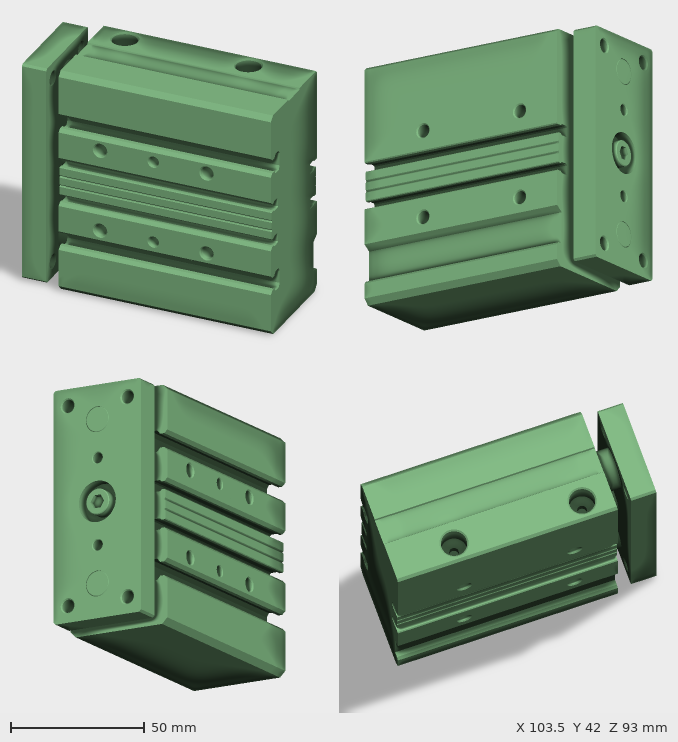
import cadquery as cq


PLATE_THICKNESS = 10.0
PLATE_WIDTH = 38.0
PLATE_HEIGHT = 91.0
PLATE_CHAMFER = 0.8

TOTAL_LENGTH = 103.5
STROKE_GAP = 6.0
HOUSING_START = PLATE_THICKNESS + STROKE_GAP
HOUSING_LENGTH = TOTAL_LENGTH - HOUSING_START
HOUSING_WIDTH = 42.0
HOUSING_HEIGHT = 93.0
FRONT_SIDE = -HOUSING_WIDTH / 2
BACK_SIDE = HOUSING_WIDTH / 2
HOUSING_TOP = HOUSING_HEIGHT / 2
FRONT_TOP_CHAMFER = 2.0
BOTTOM_CHAMFER = 2.3
PORT_CORNER_CHAMFER = 1

TOP_GROOVE_WIDTH = 10.6
TOP_GROOVE_DEPTH = 0.7
TOP_GROOVE_SLOPE = 0.3
OUTER_SLOT_HEIGHT = 24.9
INNER_SLOT_HEIGHT = 7.5
CENTER_RIB_INSET = 0.8
CENTER_RIB_CHAMFER = 0.3
RIB_NOTCH_HEIGHT = 2.0
RIB_NOTCH_WIDTH = 1
RIB_NOTCH_DEPTH = 0.5
OUTER_SLOT_MOUTH = 2.7
INNER_SLOT_MOUTH = 1.6
OUTER_SLOT = [
    (0, OUTER_SLOT_MOUTH + 1.2),
    (1.3, OUTER_SLOT_MOUTH),
    (3.1, OUTER_SLOT_MOUTH),
    (4.3, 4.1),
    (7.1, 4.1),
    (8.1, 2.6),
]
INNER_SLOT = [
    (0, INNER_SLOT_MOUTH),
    (2.5, INNER_SLOT_MOUTH),
    (3.2, 2.2),
    (6.0, 2.2),
    (6.6, 1.8),
]
FRONT_LIP = 1.2
BACK_LIP = 0.4
SIDE_GROOVE_TOP = -23.0
SIDE_GROOVE_BOTTOM = -37.4
SIDE_GROOVE_SLOPE = 2.1
SIDE_GROOVE_DEPTH = 3.1
SIDE_GROOVE_LIP = 1

GUIDE_DIAMETER = 16.0
GUIDE_OFFSET = 32.0
PISTON_ROD_DIAMETER = 10.0
ROD_INSERTION = 43.7
ROD_LENGTH = HOUSING_START + ROD_INSERTION
ROD_TIP_CHAMFER = 0.3
HEX_ACROSS_CORNERS = 5.8
HEX_DEPTH = 2.5
RECESS_DEPTH = 5.2

SCREW_DIAMETER = 5.1
SCREW_MOUTH_DIAMETER = 6.0
DOWEL_DIAMETER = 4.1
DOWEL_MOUTH_DIAMETER = 4.8
DOWEL_DEPTH = 6.0
PLATE_SCREW_Y = 12.9
PLATE_SCREW_Z = 38.9
MOUNT_HEIGHT = 17.0
MOUNT_SCREW_X = (33.1, 77.0)
MOUNT_DOWEL_X = sum(MOUNT_SCREW_X) / 2
PORT_X = (27.6, 78.6)
PORT_Y = 13.6
PORT_MOUTH_DIAMETER = 11.0
PORT_DIAMETER = 9.8
PORT_DEPTH = 8.3
PORT_CONE_DEPTH = 1.9
PORT_DUCT_DIAMETER = 3.6
PORT_DUCT_DEPTH = 3.1
DRILL_CONE_RATIO = 0.6


def revolved_tool(origin, direction, profile):
    """Solid of revolution from (radius, depth) points that start and end on the axis."""
    depth_axis = cq.Vector(*direction)
    radial_axis = cq.Vector(0, 0, 1) if direction[2] == 0 else cq.Vector(1, 0, 0)
    plane = cq.Plane(origin=origin, xDir=radial_axis, normal=radial_axis.cross(depth_axis))
    return cq.Workplane(plane).polyline(profile).close().revolve(360, (0, 0, 0), (0, 1, 0))


def chamfered_hole(origin, direction, depth):
    """Through hole with a chamfer at both mouths."""
    radius = SCREW_DIAMETER / 2
    mouth = SCREW_MOUTH_DIAMETER / 2
    chamfer = mouth - radius
    profile = [
        (0, 0),
        (mouth, 0),
        (radius, chamfer),
        (radius, depth - chamfer),
        (mouth, depth),
        (0, depth),
    ]
    return revolved_tool(origin, direction, profile)


def dowel_hole(origin, direction):
    """Blind hole with a chamfered mouth and a drill tip."""
    radius = DOWEL_DIAMETER / 2
    mouth = DOWEL_MOUTH_DIAMETER / 2
    tip = DOWEL_DEPTH + radius * DRILL_CONE_RATIO
    profile = [(0, 0), (mouth, 0), (radius, mouth - radius), (radius, DOWEL_DEPTH), (0, tip)]
    return revolved_tool(origin, direction, profile)


def port(x):
    """Air port in the top face, narrowing through a cone to a small duct."""
    mouth = PORT_MOUTH_DIAMETER / 2
    radius = PORT_DIAMETER / 2
    duct = PORT_DUCT_DIAMETER / 2
    cone_end = PORT_DEPTH + PORT_CONE_DEPTH
    duct_end = cone_end + PORT_DUCT_DEPTH
    profile = [
        (0, 0),
        (mouth, 0),
        (radius, mouth - radius),
        (radius, PORT_DEPTH),
        (duct, cone_end),
        (duct, duct_end),
        (0, duct_end),
    ]
    return revolved_tool((x, PORT_Y, HOUSING_TOP), (0, 0, -1), profile)


def along_housing(points):
    """Prism over the housing length from a (Y, Z) outline."""
    front_face = cq.Workplane("YZ").workplane(offset=HOUSING_START)
    return front_face.polyline(points).close().extrude(HOUSING_LENGTH)


def along_x(diameter, height, start, end):
    """Cylinder along X at the given height, between two X positions."""
    plane = cq.Workplane("YZ").workplane(offset=start)
    return plane.center(0, height).circle(diameter / 2).extrude(end - start)


def t_slot(side, height, profile):
    """T-slot centred at the given height in the side face at Y = side."""
    inward = -1 if side > 0 else 1
    outline = profile + [(depth, -half) for depth, half in reversed(profile)]
    return along_housing([(side + inward * depth, height + half) for depth, half in outline])


def center_grooves(side, lip):
    """Lowered rib between the two inner slots, with notches and chamfered land edges."""
    inward = -1 if side > 0 else 1
    rib_face = side + inward * CENTER_RIB_INSET
    rib_edge = INNER_SLOT_HEIGHT - INNER_SLOT_MOUTH
    land_edge = INNER_SLOT_HEIGHT + INNER_SLOT_MOUTH
    half = [
        (side, land_edge + lip),
        (side + inward * lip, land_edge),
        (rib_face + inward * CENTER_RIB_CHAMFER, land_edge),
        (rib_face + inward * CENTER_RIB_CHAMFER, rib_edge),
        (rib_face, rib_edge - CENTER_RIB_CHAMFER),
        (rib_face, RIB_NOTCH_HEIGHT + RIB_NOTCH_WIDTH / 2),
        (rib_face + inward * RIB_NOTCH_DEPTH, RIB_NOTCH_HEIGHT),
        (rib_face, RIB_NOTCH_HEIGHT - RIB_NOTCH_WIDTH / 2),
    ]
    tool = along_housing(half + [(y, -z) for y, z in reversed(half)])
    for height in (-INNER_SLOT_HEIGHT, INNER_SLOT_HEIGHT):
        tool = tool.union(t_slot(side, height, INNER_SLOT))
    return tool


def side_groove():
    """Wide groove low on the back side, with a sloping upper wall."""
    floor = BACK_SIDE - SIDE_GROOVE_DEPTH
    return along_housing([
        (BACK_SIDE, SIDE_GROOVE_TOP),
        (floor, SIDE_GROOVE_TOP - SIDE_GROOVE_SLOPE),
        (floor, SIDE_GROOVE_BOTTOM),
        (BACK_SIDE - SIDE_GROOVE_LIP, SIDE_GROOVE_BOTTOM),
        (BACK_SIDE, SIDE_GROOVE_BOTTOM - SIDE_GROOVE_LIP),
    ])


def make_housing():
    body = along_housing([
        (FRONT_SIDE + FRONT_TOP_CHAMFER, HOUSING_TOP),
        (BACK_SIDE - PORT_CORNER_CHAMFER, HOUSING_TOP),
        (BACK_SIDE, HOUSING_TOP - PORT_CORNER_CHAMFER),
        (BACK_SIDE, BOTTOM_CHAMFER - HOUSING_TOP),
        (BACK_SIDE - BOTTOM_CHAMFER, -HOUSING_TOP),
        (FRONT_SIDE + BOTTOM_CHAMFER, -HOUSING_TOP),
        (FRONT_SIDE, BOTTOM_CHAMFER - HOUSING_TOP),
        (FRONT_SIDE, HOUSING_TOP - FRONT_TOP_CHAMFER),
    ])
    half_groove = TOP_GROOVE_WIDTH / 2
    groove_floor = HOUSING_TOP - TOP_GROOVE_DEPTH
    body = body.cut(along_housing([
        (-half_groove, HOUSING_TOP),
        (half_groove, HOUSING_TOP),
        (half_groove - TOP_GROOVE_SLOPE, groove_floor),
        (TOP_GROOVE_SLOPE - half_groove, groove_floor),
    ]))
    for height in (-OUTER_SLOT_HEIGHT, OUTER_SLOT_HEIGHT):
        body = body.cut(t_slot(FRONT_SIDE, height, OUTER_SLOT))
    body = body.cut(center_grooves(FRONT_SIDE, FRONT_LIP))
    body = body.cut(center_grooves(BACK_SIDE, BACK_LIP))
    body = body.cut(side_groove())
    for x in PORT_X:
        body = body.cut(port(x))
    for height in (-MOUNT_HEIGHT, MOUNT_HEIGHT):
        for x in MOUNT_SCREW_X:
            body = body.cut(chamfered_hole((x, FRONT_SIDE, height), (0, 1, 0), HOUSING_WIDTH))
        body = body.cut(dowel_hole((MOUNT_DOWEL_X, FRONT_SIDE, height), (0, 1, 0)))
    for height in (-GUIDE_OFFSET, GUIDE_OFFSET):
        body = body.cut(along_x(GUIDE_DIAMETER, height, HOUSING_START, ROD_LENGTH))
    return body.cut(along_x(PISTON_ROD_DIAMETER, 0, HOUSING_START, ROD_LENGTH))


def make_plate():
    body = cq.Workplane("YZ").rect(PLATE_WIDTH, PLATE_HEIGHT).extrude(PLATE_THICKNESS)
    body = body.edges("|X").chamfer(PLATE_CHAMFER)
    for height in (-GUIDE_OFFSET, GUIDE_OFFSET):
        body = body.cut(along_x(GUIDE_DIAMETER, height, 0, PLATE_THICKNESS))
    body = body.cut(along_x(PISTON_ROD_DIAMETER, 0, 0, PLATE_THICKNESS))
    body = body.cut(along_x(GUIDE_DIAMETER, 0, 0, RECESS_DEPTH))
    for z in (-PLATE_SCREW_Z, PLATE_SCREW_Z):
        for y in (-PLATE_SCREW_Y, PLATE_SCREW_Y):
            body = body.cut(chamfered_hole((0, y, z), (1, 0, 0), PLATE_THICKNESS))
    for z in (-MOUNT_HEIGHT, MOUNT_HEIGHT):
        body = body.cut(dowel_hole((0, 0, z), (1, 0, 0)))
    return body


def make_guide_rod(height):
    """Guide rod with a fine bevelled ring groove cut in its plate end."""
    outer = PISTON_ROD_DIAMETER / 2
    inner = outer - ROD_TIP_CHAMFER
    ring = (
        cq.Workplane("XY")
        .polyline([(0, outer), (ROD_TIP_CHAMFER, outer), (0, inner)])
        .close()
        .revolve(360, (0, 0, 0), (1, 0, 0))
        .translate((0, 0, height))
    )
    return along_x(GUIDE_DIAMETER, height, 0, ROD_LENGTH).cut(ring)


def make_piston_rod():
    body = along_x(PISTON_ROD_DIAMETER, 0, 0, ROD_LENGTH).faces("<X").chamfer(ROD_TIP_CHAMFER)
    socket = cq.Workplane("YZ").polygon(6, HEX_ACROSS_CORNERS).extrude(HEX_DEPTH)
    return body.cut(socket)


housing = make_housing()
plate = make_plate()
piston_rod = make_piston_rod()
guide_rods = [make_guide_rod(height) for height in (-GUIDE_OFFSET, GUIDE_OFFSET)]

result = cq.Compound.makeCompound(
    [housing.val(), plate.val(), piston_rod.val()] + [rod.val() for rod in guide_rods]
)